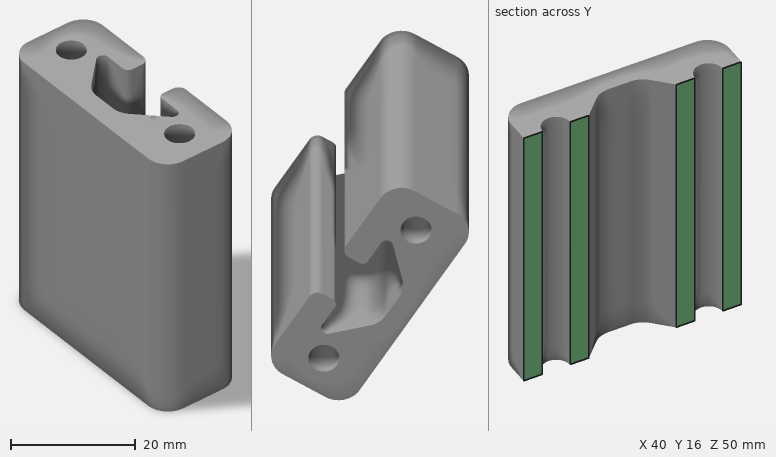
import cadquery as cq

width = 40.0
depth = 16.0
length = 50.0
corner_radius = 4.0

hole_diameter = 5.0
hole_spacing = 28.0

mouth_width = 8.0
lip_thickness = 4.5
lip_outer_radius = 1.5
lip_inner_radius = 1.0
cavity_width = 20.0
cavity_side_height = 1.5
slot_depth = 12.25
cavity_side_radius = 1.0
cavity_floor_radius = 4.0

back_y = depth / 2
lip_y = back_y - lip_thickness
slope_top_y = lip_y - cavity_side_height
floor_y = back_y - slot_depth
half_mouth = mouth_width / 2
half_cavity = cavity_width / 2
half_floor = half_cavity - (slope_top_y - floor_y)


def make_block():
    block = cq.Workplane("XY").box(width, depth, length)
    return block.edges("|Z").fillet(corner_radius)


def cut_slot(body):
    right_side = [
        (half_mouth, back_y),
        (half_mouth, lip_y),
        (half_cavity, lip_y),
        (half_cavity, slope_top_y),
        (half_floor, floor_y),
    ]
    left_side = [(-x, y) for x, y in reversed(right_side)]
    slot = (
        cq.Workplane("XY")
        .polyline(right_side + left_side)
        .close()
        .extrude(length / 2, both=True)
    )
    return body.cut(slot)


def round_slot_edges(body):
    roundings = [
        (half_mouth, back_y, lip_outer_radius),
        (half_mouth, lip_y, lip_inner_radius),
        (half_cavity, lip_y, cavity_side_radius),
        (half_cavity, slope_top_y, cavity_side_radius),
        (half_floor, floor_y, cavity_floor_radius),
    ]
    for x, y, radius in roundings:
        for side in (-1, 1):
            edge = cq.selectors.NearestToPointSelector((side * x, y, 0))
            body = body.edges(edge).fillet(radius)
    return body


def drill_holes(body):
    holes = (
        cq.Workplane("XY")
        .pushPoints([(-hole_spacing / 2, 0), (hole_spacing / 2, 0)])
        .circle(hole_diameter / 2)
        .extrude(length / 2, both=True)
    )
    return body.cut(holes)


result = drill_holes(round_slot_edges(cut_slot(make_block())))